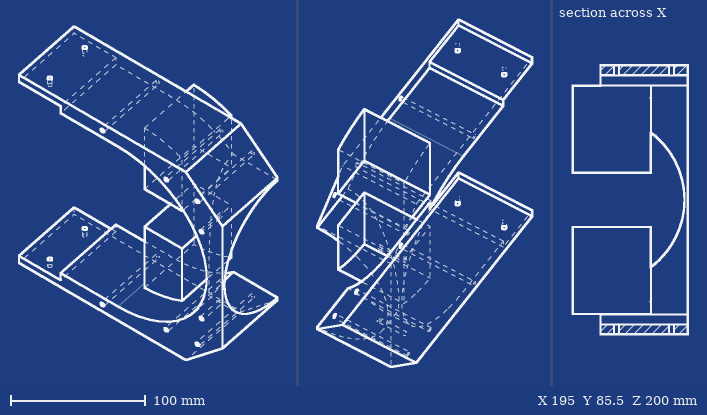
import cadquery as cq
import math

LENGTH = 195.0
HEIGHT = 200.0
DEPTH = 65.0
CORNER_CHAMFER = 35.0
BORE_RADIUS = 85.0
BORE_CENTER_X = 95.0
TIP_THICKNESS = 7.5
TIP_LENGTH = 40.0

WINDOW_RADIUS = 62.5

BLOCK_START_X = 98.0
BLOCK_WIDTH = 36.0
BLOCK_START_Y = 27.5
BLOCK_DEPTH = 58.0
BLOCK_GAP = 40.0

FACE_HOLE_DIAMETER = 3.25
ARM_HOLE_X = 80.0
RIM_HOLE_OFFSET = 7.25
RIM_HOLE_ANGLES = (30, 60)
CORNER_HOLE_OFFSET = 22.5
CORNER_HOLE_ANGLE = 45
TIP_HOLE_DIAMETER = 3.25
TIP_HOLE_X = 20.0
TIP_HOLE_SPACING = 41.0


def prism(x_start, y_start, z_start, x_size, y_size, z_size):
    """Box placed by its lowest corner."""
    box = cq.Workplane("XY").box(x_size, y_size, z_size, centered=False)
    return box.translate((x_start, y_start, z_start))


def bore_cylinder(y_end):
    """Bore volume along Y, from the front face back to y_end."""
    circle = cq.Workplane("XZ").center(BORE_CENTER_X, 0).circle(BORE_RADIUS)
    return circle.extrude(-y_end)


def make_frame():
    """C-shaped plate with chamfered corners, a round-ended mouth and thinned arm tips."""
    plate = prism(0, 0, -HEIGHT / 2, LENGTH, DEPTH, HEIGHT)
    plate = plate.edges("|Y and >X").chamfer(CORNER_CHAMFER)
    mouth = prism(0, 0, -BORE_RADIUS, BORE_CENTER_X, DEPTH, 2 * BORE_RADIUS)
    tip_half_gap = HEIGHT / 2 - TIP_THICKNESS
    tip_relief = prism(0, 0, -tip_half_gap, TIP_LENGTH, DEPTH, 2 * tip_half_gap)
    return plate.cut(bore_cylinder(DEPTH)).cut(mouth).cut(tip_relief)


def make_window():
    """Cylinder that opens the back wall from the bore out to the +X face."""
    circle = cq.Workplane("YZ", origin=(BORE_CENTER_X, 0, 0)).center(DEPTH, 0).circle(WINDOW_RADIUS)
    return circle.extrude(LENGTH - BORE_CENTER_X)


def make_blocks():
    """Two blocks whose outer ends are rounded to sit against the bore."""
    column = prism(BLOCK_START_X, BLOCK_START_Y, -HEIGHT / 2, BLOCK_WIDTH, BLOCK_DEPTH, HEIGHT)
    gap = prism(BLOCK_START_X, BLOCK_START_Y, -BLOCK_GAP / 2, BLOCK_WIDTH, BLOCK_DEPTH, BLOCK_GAP)
    return column.intersect(bore_cylinder(BLOCK_START_Y + BLOCK_DEPTH)).cut(gap)


def point_around_bore(offset, angle):
    """X and Z of a point at the given distance outside the bore and angle in degrees above +X."""
    radius = BORE_RADIUS + offset
    turn = math.radians(angle)
    return BORE_CENTER_X + radius * math.cos(turn), radius * math.sin(turn)


def make_face_holes():
    """Holes through the full depth: one on each arm and three around each half of the bore."""
    upper_points = [(ARM_HOLE_X, (HEIGHT / 2 + BORE_RADIUS) / 2)]
    upper_points += [point_around_bore(RIM_HOLE_OFFSET, angle) for angle in RIM_HOLE_ANGLES]
    upper_points.append(point_around_bore(CORNER_HOLE_OFFSET, CORNER_HOLE_ANGLE))
    lower_points = [(x, -z) for x, z in upper_points]
    holes = cq.Workplane("XZ").pushPoints(upper_points + lower_points)
    return holes.circle(FACE_HOLE_DIAMETER / 2).extrude(-DEPTH)


def make_tip_holes():
    """Pair of vertical holes through the tips of both arms."""
    points = [(TIP_HOLE_X, DEPTH / 2 + side * TIP_HOLE_SPACING / 2) for side in (1, -1)]
    holes = cq.Workplane("XY", origin=(0, 0, -HEIGHT / 2)).pushPoints(points)
    return holes.circle(TIP_HOLE_DIAMETER / 2).extrude(HEIGHT)


frame = make_frame().cut(make_window()).cut(make_face_holes()).cut(make_tip_holes())
result = frame.union(make_blocks())